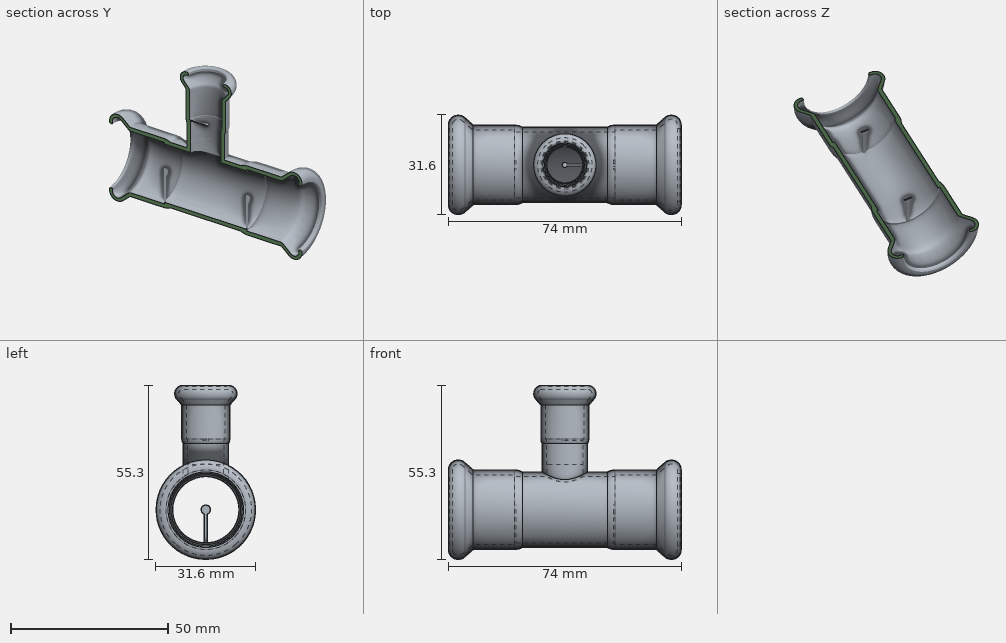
import cadquery as cq
import math


BEAD_WALL = 1.25
LIP_CHAMFER = 0.4
GROOVE_EXIT_RADIUS = 1.5
MARKER_THICKNESS = 0.5
DISC_TO_BORE = 1 / 7
STEM_TO_BORE = 1 / 20

RUN_PORT = dict(
    length=37.0,
    bead_centre_radius=12.65,
    bead_radius=3.15,
    lip_bore=23.2,
    bead_end_depth=7.9,
    socket_diameter=25.3,
    socket_bore=22.2,
    stop_depth=21.0,
    shoulder_end_depth=23.5,
    tube_diameter=24.0,
    tube_bore=21.0,
)
BRANCH_PORT = dict(
    length=39.5,
    bead_centre_radius=7.25,
    bead_radius=2.65,
    lip_bore=13.0,
    bead_end_depth=6.24,
    socket_diameter=15.3,
    socket_bore=12.2,
    stop_depth=17.0,
    shoulder_end_depth=18.4,
    tube_diameter=14.5,
    tube_bore=11.5,
)
COLLAR_TOP = 14.4
COLLAR_BORE = 11.4


def bead_cone_angle(port):
    """Angle from the inward axis to the normal of the cone that closes the bead."""
    axial = port["bead_end_depth"] - port["bead_radius"]
    radial = port["socket_diameter"] / 2 - port["bead_centre_radius"]
    return math.atan2(radial, axial) + math.acos(port["bead_radius"] / math.hypot(axial, radial))


def revolve_about_z(profile):
    return profile.close().revolve(360, (0, 0, 0), (0, 1, 0))


def port_outside(port):
    """Solid outer form of one port, along +Z from the tee centre to the mouth."""
    length = port["length"]
    centre_r = port["bead_centre_radius"]
    bead_r = port["bead_radius"]
    bead_z = length - bead_r
    socket_r = port["socket_diameter"] / 2
    tube_r = port["tube_diameter"] / 2
    angle = bead_cone_angle(port)
    cone_start = (centre_r + bead_r * math.sin(angle), bead_z - bead_r * math.cos(angle))

    profile = (
        cq.Workplane("XZ")
        .moveTo(0, length)
        .lineTo(centre_r, length)
        .threePointArc((centre_r + bead_r, bead_z), cone_start)
        .lineTo(socket_r, length - port["bead_end_depth"])
        .lineTo(socket_r, length - port["stop_depth"])
        .tangentArcPoint((tube_r, length - port["shoulder_end_depth"]), relative=False)
        .lineTo(tube_r, 0)
        .lineTo(0, 0)
    )
    return revolve_about_z(profile)


def port_cavity(port):
    """Hollow of one port: chamfered lip, seal groove, socket bore, pipe stop and tube bore."""
    length = port["length"]
    centre_r = port["bead_centre_radius"]
    bead_z = length - port["bead_radius"]
    groove_r = port["bead_radius"] - BEAD_WALL
    lip_r = port["lip_bore"] / 2
    socket_r = port["socket_bore"] / 2
    tube_r = port["tube_bore"] / 2
    stop_z = length - port["stop_depth"]
    angle = bead_cone_angle(port)
    sine = math.sin(angle)
    cosine = math.cos(angle)

    lip_back_z = length - BEAD_WALL
    cone_start_r = centre_r + groove_r * sine
    cone_start_z = bead_z - groove_r * cosine

    corner_z = cone_start_z - (cone_start_r - socket_r) * sine / cosine
    tangent_length = GROOVE_EXIT_RADIUS * math.tan((math.pi / 2 - angle) / 2)
    rounding_start = (socket_r + tangent_length * cosine, corner_z + tangent_length * sine)

    profile = (
        cq.Workplane("XZ")
        .moveTo(0, length)
        .lineTo(lip_r + LIP_CHAMFER, length)
        .lineTo(lip_r, length - LIP_CHAMFER)
        .lineTo(lip_r, lip_back_z)
        .lineTo(centre_r, lip_back_z)
        .threePointArc((centre_r + groove_r, bead_z), (cone_start_r, cone_start_z))
        .lineTo(*rounding_start)
        .tangentArcPoint((socket_r, corner_z - tangent_length), relative=False)
        .lineTo(socket_r, stop_z)
        .lineTo(tube_r, stop_z)
        .lineTo(tube_r, 0)
        .lineTo(0, 0)
    )
    return revolve_about_z(profile)


def port_marker(port):
    """Disc on the port axis with a stem toward +X that ends on the tube bore."""
    bore_r = port["tube_bore"] / 2
    base = cq.Workplane("XY").workplane(offset=port["length"] - port["stop_depth"] - MARKER_THICKNESS)
    disc = base.circle(port["tube_bore"] * DISC_TO_BORE / 2).extrude(MARKER_THICKNESS)
    stem_width = port["tube_bore"] * STEM_TO_BORE
    stem = base.center(bore_r / 2, 0).rect(bore_r, stem_width).extrude(MARKER_THICKNESS)
    bore = base.circle(bore_r).extrude(MARKER_THICKNESS)
    return disc.union(stem).intersect(bore)


def on_right(shape):
    """Turn a +Z port feature onto +X; its local +X then points down."""
    return shape.rotate((0, 0, 0), (0, 1, 0), 90)


def on_left(shape):
    return on_right(shape).mirror("YZ")


def on_branch(shape):
    return shape


PORTS = [(RUN_PORT, on_left), (RUN_PORT, on_right), (BRANCH_PORT, on_branch)]


def make_tee():
    tee = cq.Workplane("XY")
    for port, place in PORTS:
        tee = tee.union(place(port_outside(port)))

    collar_wall = (
        cq.Workplane("XY")
        .circle(BRANCH_PORT["tube_diameter"] / 2)
        .circle(COLLAR_BORE / 2)
        .extrude(COLLAR_TOP)
    )
    tee = tee.cut(port_cavity(BRANCH_PORT)).union(collar_wall)
    run_cavity = on_left(port_cavity(RUN_PORT)).union(on_right(port_cavity(RUN_PORT)))
    return tee.cut(run_cavity)


tee_body = make_tee()
markers = [place(port_marker(port)) for port, place in PORTS]

result = cq.Compound.makeCompound([tee_body.solids().val(), *[marker.solids().val() for marker in markers]])